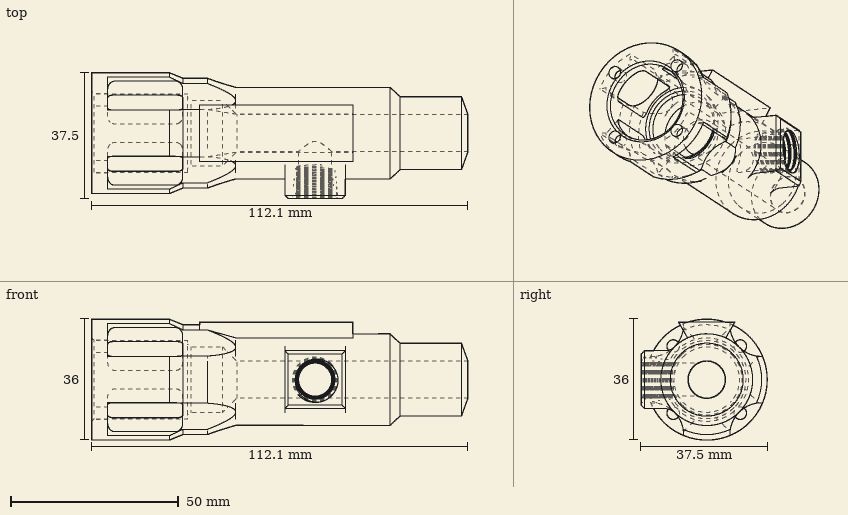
import cadquery as cq
import math

length = 112.1
flange_radius = 18.0
collar_radius = 16.4
body_radius = 13.7
neck_radius = 10.9
tip_radius = 5.6

flange_end = 23.2
collar_start = 27.2
collar_end = 34.5
body_start = 42.9
body_end = 88.9
neck_start = 91.9
neck_end = 110.2

mouth_radius = 12.4
chamber_radius = 11.7
seat_radius = 10.5
barrel_radius = 9.8
bore_radius = 5.5
mouth_depth = 0.8
seat_depth = 28.6
seat_chamfer_length = 1.0
funnel_start = 39.0
funnel_end = funnel_start + barrel_radius - bore_radius

pocket_start = 4.8
scoop_radius = 9.5
window_half_width = 6.0
window_length = 22.3
window_corner_radius = 2.0

bolt_offset = 10.0
bolt_hole_diameter = 3.7

rail_start = 32.2
rail_length = 45.6
rail_top = 17.1
rail_foot = 10.6
rail_half_width = 8.4
rail_flank_angle = 60.0

port_x = 66.6
port_length = 18.0
port_half_height = 8.6
port_face_y = -19.5
port_chamfer = 1.0
port_fillet = 4.1
port_hole_radius = 4.9

thread_mouth_radius = 5.9
thread_depth = 0.9
thread_pitch = 1.7
thread_length = 9.5
thread_overlap = 0.1
thread_clocking = 70.0
groove_mouth_width = 1.5
groove_root_width = 0.3


def turned(points):
    """Solid of revolution about X from (x, radius) points, closed along the axis."""
    first_x = points[0][0]
    last_x = points[-1][0]
    outline = [(first_x, 0)] + points + [(last_x, 0)]
    return cq.Workplane("XY").polyline(outline).close().revolve(360, (0, 0, 0), (1, 0, 0))


def make_body():
    return turned([
        (0, flange_radius),
        (flange_end, flange_radius),
        (collar_start, collar_radius),
        (collar_end, collar_radius),
        (body_start, body_radius),
        (body_end, body_radius),
        (neck_start, neck_radius),
        (neck_end, neck_radius),
        (length, tip_radius),
    ])


def make_bore():
    return turned([
        (0, mouth_radius),
        (mouth_depth, chamber_radius),
        (seat_depth, chamber_radius),
        (seat_depth, seat_radius),
        (seat_depth + seat_chamfer_length, barrel_radius),
        (funnel_start, barrel_radius),
        (funnel_end, bore_radius),
        (length, bore_radius),
    ])


def make_pocket():
    """Diagonal pocket in the +Y +Z quarter: concave scoop tangent to the body, plus a window."""
    scoop = (
        cq.Workplane("XY", origin=(pocket_start, 0, body_radius + scoop_radius))
        .transformed(rotate=(0, 90, 0))
        .circle(scoop_radius)
        .extrude(body_start - pocket_start)
    )
    window = (
        cq.Workplane("XY", origin=(pocket_start + window_length / 2, 0, 0))
        .rect(window_length, 2 * window_half_width)
        .extrude(flange_radius)
        .edges("|Z")
        .fillet(window_corner_radius)
    )
    return scoop.union(window).rotate((0, 0, 0), (1, 0, 0), -45)


def make_bolt_holes():
    return (
        cq.Workplane("YZ")
        .rect(2 * bolt_offset, 2 * bolt_offset, forConstruction=True)
        .vertices()
        .circle(bolt_hole_diameter / 2)
        .extrude(pocket_start)
    )


def make_rail():
    """Rail whose flanks slope inwards and end buried in the wall of the body."""
    foot_drop = rail_top - rail_foot
    foot_half_width = rail_half_width - foot_drop / math.tan(math.radians(rail_flank_angle))
    outline = [
        (-rail_half_width, rail_top),
        (rail_half_width, rail_top),
        (foot_half_width, rail_foot),
        (-foot_half_width, rail_foot),
    ]
    return cq.Workplane("YZ", origin=(rail_start, 0, 0)).polyline(outline).close().extrude(rail_length)


def make_port_block():
    """Square block whose top and bottom run into the round body through concave fillets."""
    centre_z = port_half_height + port_fillet
    centre_y = -math.sqrt((body_radius + port_fillet) ** 2 - centre_z ** 2)
    root_scale = body_radius / (body_radius + port_fillet)
    root = (centre_y * root_scale, centre_z * root_scale)
    root_angle = math.atan2(-centre_z, -centre_y)
    mid_angle = (root_angle - math.pi / 2) / 2
    mid = (
        centre_y + port_fillet * math.cos(mid_angle),
        centre_z + port_fillet * math.sin(mid_angle),
    )
    block = (
        cq.Workplane("YZ", origin=(port_x - port_length / 2, 0, 0))
        .moveTo(port_face_y, -port_half_height)
        .lineTo(port_face_y, port_half_height)
        .lineTo(centre_y, port_half_height)
        .threePointArc(mid, root)
        .lineTo(0, root[1])
        .lineTo(0, -root[1])
        .lineTo(root[0], -root[1])
        .threePointArc((mid[0], -mid[1]), (centre_y, -port_half_height))
        .close()
        .extrude(port_length)
    )
    return block.faces("<Y").chamfer(port_chamfer)


def make_port_hole():
    """Tapered hole from the port face down to the thread end, then a plain hole into the bore."""
    outline = [
        (0, 0),
        (port_hole_radius, 0),
        (port_hole_radius, port_face_y + thread_length),
        (thread_mouth_radius, port_face_y),
        (0, port_face_y),
    ]
    hole = cq.Workplane("XY").polyline(outline).close().revolve(360, (0, 0, 0), (0, 1, 0))
    return hole.rotate((0, 0, 0), (0, 1, 0), 90).translate((port_x, 0, 0))


def make_port_thread():
    """Conical helical V groove, running from the thread end to one pitch outside the port face."""
    taper_angle = math.degrees(math.atan2(thread_mouth_radius - port_hole_radius, thread_length))
    helix = cq.Wire.makeHelix(
        thread_pitch, thread_length + thread_pitch, port_hole_radius, angle=taper_angle
    )
    half_mouth = groove_mouth_width / 2
    half_root = groove_root_width / 2
    inner_radius = port_hole_radius - thread_overlap
    root_radius = port_hole_radius + thread_depth
    groove = (
        cq.Workplane("XZ")
        .moveTo(inner_radius, -half_mouth)
        .lineTo(root_radius, -half_root)
        .lineTo(root_radius, half_root)
        .lineTo(inner_radius, half_mouth)
        .close()
        .sweep(cq.Workplane(obj=helix), isFrenet=True)
    )
    clocked = groove.rotate((0, 0, 0), (0, 0, 1), thread_clocking)
    return clocked.rotate((0, 0, 0), (1, 0, 0), 90).translate((port_x, port_face_y + thread_length, 0))


result = make_body()
for quarter in range(4):
    result = result.cut(make_pocket().rotate((0, 0, 0), (1, 0, 0), 90 * quarter))
result = result.union(make_rail()).union(make_port_block())
result = result.cut(make_bore()).cut(make_bolt_holes()).cut(make_port_hole()).cut(make_port_thread())